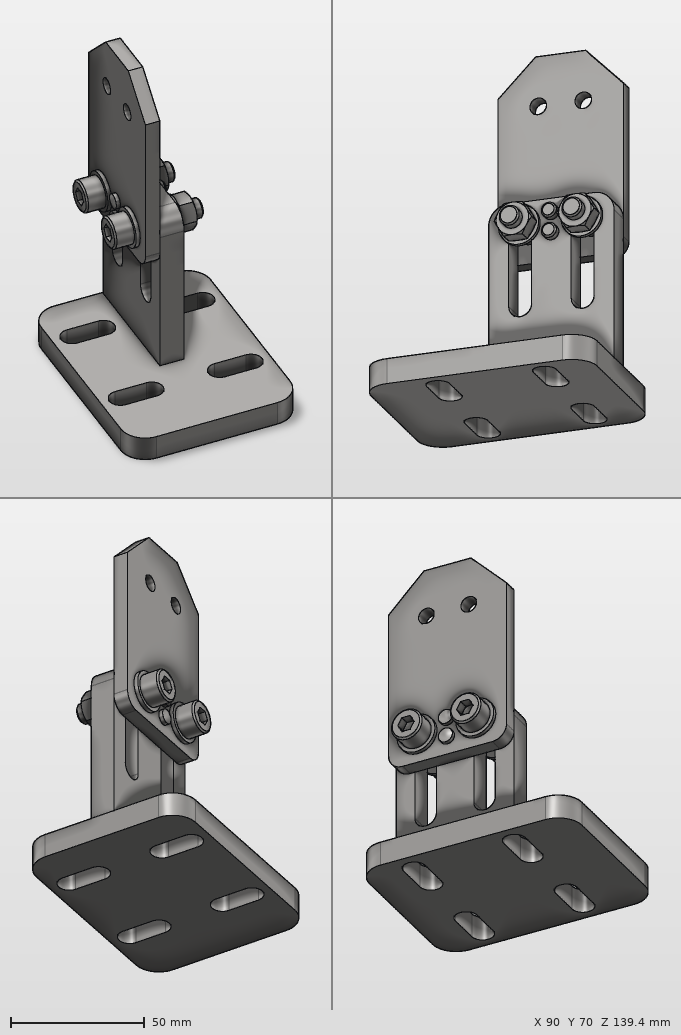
import cadquery as cq
import math

BASE_LENGTH = 90.0
BASE_WIDTH = 70.0
BASE_THICKNESS = 10.0
BASE_CORNER_RADIUS = 10.0
BASE_SLOT_WIDTH = 9.0
BASE_SLOT_LENGTH = 22.0
BASE_SLOT_X_FROM_LEFT = (20.0, 62.5)
BASE_SLOT_Y = 20.5

WALL_INSET = 0.5
WALL_WIDTH = 50.0
WALL_THICKNESS = 10.0
WALL_TOP = 77.8
WALL_CORNER_RADIUS = 8.0
WALL_SLOT_WIDTH = 9.0
WALL_SLOT_BOTTOM = 32.0
WALL_X = -BASE_LENGTH / 2 + WALL_INSET + WALL_WIDTH / 2
WALL_FRONT = -WALL_THICKNESS / 2
WALL_BACK = WALL_THICKNESS / 2

PLATE_TOP = 139.4
PLATE_BOTTOM = 56.7
PLATE_THICKNESS = 6.0
PLATE_CORNER_RADIUS = 6.0
PLATE_CHAMFER = 15.0
PLATE_HOLE_DIAMETER = 6.5
PLATE_HOLE_SPACING = 18.0
PLATE_HOLE_DROP = 19.9
PLATE_FRONT = WALL_FRONT - PLATE_THICKNESS

SCREW_SPACING = 25.0
SCREW_Z = 68.4
SCREW_DIAMETER = 8.0
SCREW_LENGTH = 30.0
SCREW_END_CHAMFER = 0.7
HEAD_DIAMETER = 13.0
HEAD_HEIGHT = 8.0
HEAD_CHAMFER = 0.7
SOCKET_FLATS = 6.0
SOCKET_DEPTH = 4.0
SOCKET_POINT_DEPTH = 1.7
WASHER_DIAMETER = 16.0
WASHER_THICKNESS = 1.7
NUT_FLATS = 13.0
NUT_HEIGHT = 6.5
NUT_CHAMFER_ANGLE = 30.0
SCREW_X = (WALL_X - SCREW_SPACING / 2, WALL_X + SCREW_SPACING / 2)
SCREW_HEAD_SEAT = PLATE_FRONT - WASHER_THICKNESS
NUT_SEAT = WALL_BACK + WASHER_THICKNESS

PIN_DIAMETER = 6.0
PIN_SPACING = 8.1
PIN_MIDDLE_Z = 68.1
PIN_FRONT = -12.7
PIN_BACK = 8.4
PIN_DOME_HEIGHT = 0.7
PIN_CHAMFER = 0.7
PIN_Z = (PIN_MIDDLE_Z - PIN_SPACING / 2, PIN_MIDDLE_Z + PIN_SPACING / 2)


def facing_back(x, y, z):
    """Plane at (x, y, z) with its normal along +Y and its local x along +X."""
    return cq.Workplane(cq.Plane(origin=(x, y, z), xDir=(1, 0, 0), normal=(0, 1, 0)))


def rod(x, y, z, diameter, length):
    """Cylinder that runs from (x, y, z) along +Y."""
    return facing_back(x, y, z).circle(diameter / 2).extrude(length)


def hexagon_diameter(across_flats):
    return across_flats / math.cos(math.pi / 6)


def make_base():
    base = (
        cq.Workplane("XY")
        .box(BASE_LENGTH, BASE_WIDTH, BASE_THICKNESS, centered=(True, True, False))
        .edges("|Z")
        .fillet(BASE_CORNER_RADIUS)
    )
    slot_centers = [
        (x - BASE_LENGTH / 2, y) for x in BASE_SLOT_X_FROM_LEFT for y in (-BASE_SLOT_Y, BASE_SLOT_Y)
    ]
    slots = (
        cq.Workplane("XY")
        .pushPoints(slot_centers)
        .slot2D(BASE_SLOT_LENGTH, BASE_SLOT_WIDTH, 90)
        .extrude(BASE_THICKNESS)
    )
    return base.cut(slots)


def make_wall():
    wall = (
        cq.Workplane("XY", origin=(WALL_X, 0, BASE_THICKNESS))
        .box(WALL_WIDTH, WALL_THICKNESS, WALL_TOP - BASE_THICKNESS, centered=(True, True, False))
        .edges("|Y and >Z")
        .fillet(WALL_CORNER_RADIUS)
    )
    slot_top = SCREW_Z + WALL_SLOT_WIDTH / 2
    slot_middle = (slot_top + WALL_SLOT_BOTTOM) / 2
    for x in SCREW_X:
        slot = (
            facing_back(x, WALL_FRONT, slot_middle)
            .slot2D(slot_top - WALL_SLOT_BOTTOM, WALL_SLOT_WIDTH, 90)
            .extrude(WALL_THICKNESS)
        )
        wall = wall.cut(slot)
    for z in PIN_Z:
        wall = wall.cut(rod(WALL_X, WALL_FRONT, z, PIN_DIAMETER, WALL_THICKNESS))
    return wall


def make_bracket():
    return make_base().union(make_wall())


def make_plate():
    plate = (
        cq.Workplane("XY", origin=(WALL_X, WALL_FRONT - PLATE_THICKNESS / 2, PLATE_BOTTOM))
        .box(WALL_WIDTH, PLATE_THICKNESS, PLATE_TOP - PLATE_BOTTOM, centered=(True, True, False))
        .edges("|Y and <Z")
        .fillet(PLATE_CORNER_RADIUS)
        .edges("|Y and >Z")
        .chamfer(PLATE_CHAMFER)
    )
    for side in (-1, 1):
        x = WALL_X + side * PLATE_HOLE_SPACING / 2
        hole = rod(x, PLATE_FRONT, PLATE_TOP - PLATE_HOLE_DROP, PLATE_HOLE_DIAMETER, PLATE_THICKNESS)
        plate = plate.cut(hole)
    return plate


def make_screw(x, has_drill_point):
    """Socket head screw; the floor of the socket is flat or ends in a conical drill point."""
    head_front = SCREW_HEAD_SEAT - HEAD_HEIGHT
    head = rod(x, head_front, SCREW_Z, HEAD_DIAMETER, HEAD_HEIGHT).faces("<Y").chamfer(HEAD_CHAMFER)
    socket = (
        facing_back(x, head_front, SCREW_Z)
        .polygon(6, hexagon_diameter(SOCKET_FLATS))
        .extrude(SOCKET_DEPTH)
    )
    shank = (
        rod(x, SCREW_HEAD_SEAT, SCREW_Z, SCREW_DIAMETER, SCREW_LENGTH)
        .faces(">Y")
        .chamfer(SCREW_END_CHAMFER)
    )
    screw = head.cut(socket).union(shank)
    if has_drill_point:
        point = cq.Solid.makeCone(
            SOCKET_FLATS / 2,
            0,
            SOCKET_POINT_DEPTH,
            pnt=cq.Vector(x, head_front + SOCKET_DEPTH, SCREW_Z),
            dir=cq.Vector(0, 1, 0),
        )
        screw = screw.cut(cq.Workplane(point))
    return screw


def make_nut(x):
    """Hexagon nut with the corners of both faces turned down to a circle."""
    corner_diameter = hexagon_diameter(NUT_FLATS)
    hexagon = facing_back(x, NUT_SEAT, SCREW_Z).polygon(6, corner_diameter).extrude(NUT_HEIGHT)
    turned_depth = (corner_diameter - NUT_FLATS) / 2
    turned_height = turned_depth * math.tan(math.radians(NUT_CHAMFER_ANGLE))
    turned_blank = (
        rod(x, NUT_SEAT, SCREW_Z, corner_diameter, NUT_HEIGHT)
        .faces("<Y or >Y")
        .chamfer(turned_height, turned_depth)
    )
    return hexagon.intersect(turned_blank)


def make_screw_set(x, has_drill_point):
    front_washer = rod(x, SCREW_HEAD_SEAT, SCREW_Z, WASHER_DIAMETER, WASHER_THICKNESS)
    back_washer = rod(x, WALL_BACK, SCREW_Z, WASHER_DIAMETER, WASHER_THICKNESS)
    screw = make_screw(x, has_drill_point)
    return screw.union(front_washer).union(back_washer).union(make_nut(x))


def make_pin(z):
    """Guide pin with a domed front end and a chamfered back end."""
    radius = PIN_DIAMETER / 2
    body = rod(WALL_X, PIN_FRONT, z, PIN_DIAMETER, PIN_BACK - PIN_FRONT).faces(">Y").chamfer(PIN_CHAMFER)
    dome_radius = (radius**2 + PIN_DOME_HEIGHT**2) / (2 * PIN_DOME_HEIGHT)
    dome_tip = PIN_FRONT - PIN_DOME_HEIGHT
    ball = cq.Workplane("XY", origin=(WALL_X, dome_tip + dome_radius, z)).sphere(dome_radius)
    dome = rod(WALL_X, dome_tip, z, PIN_DIAMETER, PIN_DOME_HEIGHT).intersect(ball)
    return body.union(dome)


def make_adjusting_plate():
    """Plate together with the screws, washers, nuts and pins fixed to it."""
    left_screw_x, right_screw_x = SCREW_X
    assembly = make_plate()
    assembly = assembly.union(make_screw_set(left_screw_x, has_drill_point=False))
    assembly = assembly.union(make_screw_set(right_screw_x, has_drill_point=True))
    for z in PIN_Z:
        assembly = assembly.union(make_pin(z))
    return assembly


bracket = make_bracket()
adjusting_plate = make_adjusting_plate()

result = cq.Compound.makeCompound([bracket.solids().val(), adjusting_plate.solids().val()])